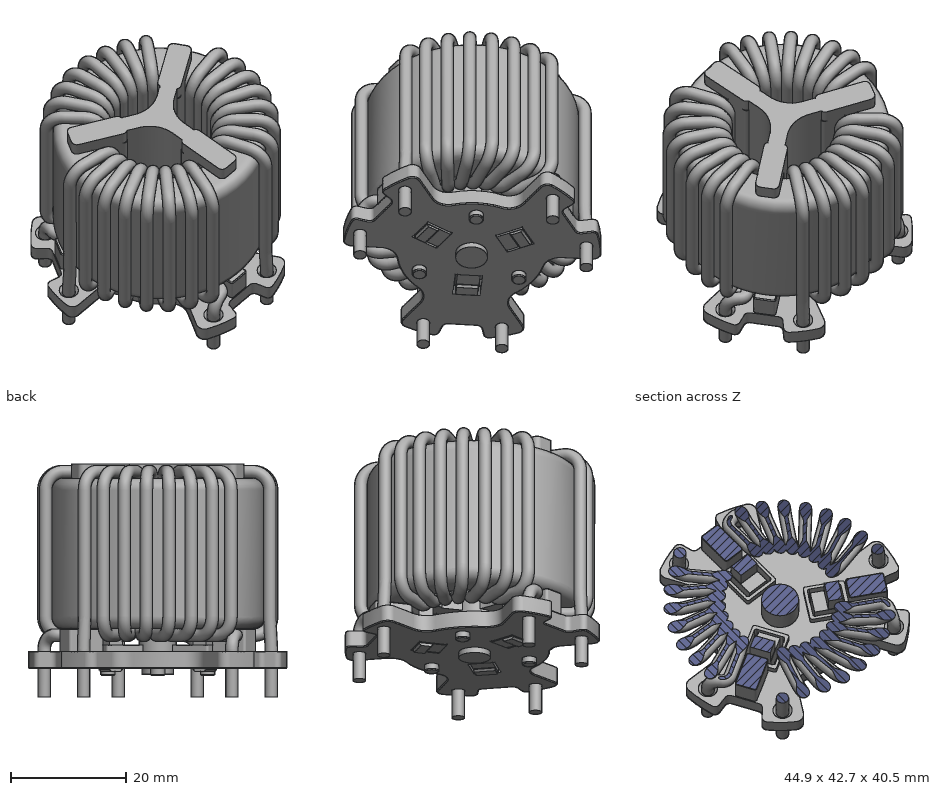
import cadquery as cq
import math


PHASES = 3
SPOKE_ANGLES = [-90 + 360 / PHASES * i for i in range(PHASES)]
WINDING_ANGLES = [angle + 180 / PHASES for angle in SPOKE_ANGLES]

plate_height = 2.95
plate_radius = 13.0
plate_chamfer = 0.2
tab_radius = 22.5
tab_side_angle = 30.0
tab_root_fillet = 3.0
tab_corner_fillet = 1.5
gap_distance = 18.85
gap_half_width = 3.25
gap_side_tilt = 15.0
gap_fillet = 1.0

core_outer_radius = 37.2 / 2
core_inner_radius = 22.35 / 2
core_bottom = 6.95
core_height = 26.1
core_fillet = 2.0
core_top = core_bottom + core_height

support_inner = 11.95
support_outer = 18.67
support_width = 3.95
support_fillet = 0.45
support_chamfer = 0.2

frame_inner = 4.7
frame_outer = 12.0
frame_width = 6.65
frame_top = 4.1
frame_fillet = 0.4
slot_inner = 5.75
slot_outer = 10.85
slot_width = 4.75
slot_flare = 0.4

foot_diameter = 2.5
foot_height = 1.15
foot_circle_radius = 10.0
foot_chamfer = 0.2

separator_top = 35.55
web_width = 3.05
web_fillet = 5.85
spoke_width = 4.15
spoke_inner = 6.4
spoke_outer = 16.5
spoke_fillet = 1.0
rib_fillet = 0.67
web_outer = 10.75
plug_width = 3.95
tongue_inner = 8.15
tongue_width = 3.75
tongue_drop = 0.5
tongue_chamfer = 0.35
hub_top = core_bottom + core_height / 2
hub_diameter = 6.5
hub_end_diameter = 5.5
hub_end_drop = 1.0

turns = 8
wire_diameter = 2.2
wire_gap = 0.067
wire_half_span = 40.0
pin_circle_radius = 20.0
pin_drop = 4.95
pin_hole_diameter = 2.3
pin_hole_mouth = 3.3
pin_straight_top = 3.35
exit_turn = 76.0

wire_pitch = 2 * wire_half_span / (turns - 1)
wire_offset = wire_diameter / 2 + wire_gap
bend_radius = core_fillet + wire_offset
wire_outer = core_outer_radius + wire_offset
wire_inner = core_inner_radius - wire_offset
bend_bottom = core_bottom + core_fillet
bend_top = core_top - core_fillet
pin_half_angle = 180 / PHASES - wire_half_span

UP = cq.Vector(0, 0, 1)
DOWN = cq.Vector(0, 0, -1)


def polar(radius, angle, z=0.0):
    return cq.Vector(radius * math.cos(math.radians(angle)), radius * math.sin(math.radians(angle)), z)


def about_axis(shape, angles):
    """Copies of a shape built along +X, turned to each angle and joined."""
    joined = shape.rotate((0, 0, 0), UP.toTuple(), angles[0])
    for angle in angles[1:]:
        joined = joined.union(shape.rotate((0, 0, 0), UP.toTuple(), angle))
    return joined


def radial_block(inner, outer, width, bottom, top):
    """Box lying along +X between two radii."""
    return cq.Workplane("XY").box(outer - inner, width, top - bottom, centered=(False, True, False)).translate(
        (inner, 0, bottom)
    )


def edges_within(part, radius):
    """Vertical edges nearer to the axis than a radius."""
    return part.edges("|Z").filter(lambda edge: math.hypot(edge.Center().x, edge.Center().y) < radius)


def make_tab_pair():
    """Two tabs on either side of a flat-bottomed gap, drawn symmetric about +X."""
    side = math.radians(tab_side_angle)
    tilt = math.radians(gap_side_tilt)
    corner_x = tab_radius * math.cos(side)
    corner_y = tab_radius * math.sin(side)
    sector = (
        cq.Workplane("XY")
        .moveTo(0, 0)
        .lineTo(corner_x, -corner_y)
        .threePointArc((tab_radius, 0), (corner_x, corner_y))
        .close()
        .extrude(plate_height)
        .edges("|Z and (not <X)")
        .fillet(tab_corner_fillet)
    )
    gap_length = tab_radius + 0.45 - gap_distance
    mouth_half_width = gap_half_width + gap_length * math.tan(tilt)
    gap = (
        cq.Workplane("XY")
        .polyline(
            [
                (gap_distance, -gap_half_width),
                (gap_distance + gap_length, -mouth_half_width),
                (gap_distance + gap_length, mouth_half_width),
                (gap_distance, gap_half_width),
            ]
        )
        .close()
        .extrude(plate_height)
    )
    notched = sector.cut(gap)
    gap_edges = notched.edges("|Z").filter(lambda edge: 0 < abs(edge.Center().y) < mouth_half_width)
    return gap_edges.filter(lambda edge: edge.Center().x > gap_distance - 0.45).fillet(gap_fillet)


def make_plate():
    disc = cq.Workplane("XY").circle(plate_radius).extrude(plate_height)
    plate = disc.union(about_axis(make_tab_pair(), SPOKE_ANGLES))
    plate = edges_within(plate, plate_radius + 0.45).fillet(tab_root_fillet)
    return plate.faces("<Z").edges().chamfer(plate_chamfer)


def make_base():
    frame = radial_block(frame_inner, frame_outer, frame_width, plate_height, frame_top)
    frame = frame.edges("|Z").fillet(frame_fillet)
    support = radial_block(support_inner, support_outer, support_width, plate_height, core_bottom)
    support = support.edges("|Z").fillet(support_fillet).faces(">Z").edges().chamfer(support_chamfer)
    base = make_plate().union(about_axis(frame, SPOKE_ANGLES)).union(about_axis(support, SPOKE_ANGLES))

    slot = (
        cq.Workplane("XY")
        .center((slot_inner + slot_outer) / 2, 0)
        .rect(slot_outer - slot_inner, slot_width)
        .extrude(frame_top, taper=-math.degrees(math.atan(slot_flare / frame_top)))
    )
    base = base.cut(about_axis(slot, SPOKE_ANGLES))

    foot = cq.Workplane("XY").circle(foot_diameter / 2).extrude(-foot_height).faces("<Z").chamfer(foot_chamfer)
    base = base.union(about_axis(foot.translate((foot_circle_radius, 0, 0)), WINDING_ANGLES))

    mouth_depth = (pin_hole_mouth - pin_hole_diameter) / 2
    hole = cq.Workplane("XY").circle(pin_hole_diameter / 2).extrude(plate_height)
    mouth = cq.Workplane("XY").add(
        cq.Solid.makeCone(
            pin_hole_diameter / 2,
            pin_hole_mouth / 2,
            mouth_depth,
            cq.Vector(0, 0, plate_height - mouth_depth),
        )
    )
    pin_hole = hole.union(mouth).translate((pin_circle_radius, 0, 0))
    for spoke_angle in SPOKE_ANGLES:
        base = base.cut(about_axis(pin_hole, [spoke_angle - pin_half_angle, spoke_angle + pin_half_angle]))
    return base


def make_core():
    return (
        cq.Workplane("XY", origin=(0, 0, core_bottom))
        .circle(core_outer_radius)
        .circle(core_inner_radius)
        .extrude(core_height)
        .faces("<Z or >Z")
        .edges()
        .fillet(core_fillet)
    )


def make_separator():
    web = about_axis(radial_block(0, spoke_inner + 0.45, web_width, core_bottom, separator_top), SPOKE_ANGLES)
    web = edges_within(web, web_width).fillet(web_fillet)

    arm = radial_block(spoke_inner, spoke_outer, spoke_width, core_top, separator_top)
    arm = arm.edges("|Z").fillet(spoke_fillet)
    rib = radial_block(spoke_inner, web_outer, spoke_width, core_bottom, core_top)
    rib = rib.edges("|Z and <X").fillet(rib_fillet)
    plug = radial_block(slot_inner, web_outer, plug_width, 0, frame_top)
    tongue = radial_block(tongue_inner, web_outer, tongue_width, -tongue_drop, core_bottom)
    tongue = tongue.faces("<Z").edges("|Y").chamfer(tongue_chamfer)
    separator = web.union(about_axis(arm.union(rib).union(plug).union(tongue), SPOKE_ANGLES))

    hub = cq.Workplane("XY").circle(hub_diameter / 2).extrude(hub_top)
    hub_end = cq.Workplane("XY").circle(hub_end_diameter / 2).extrude(-hub_end_drop)
    return separator.union(hub).union(hub_end)


def make_carrier():
    return make_base().union(make_core()).union(make_separator())


def sweep_wire(edges):
    """Round wire along a smooth chain of edges that starts vertical."""
    path = cq.Wire.assembleEdges(edges)
    section = cq.Workplane(cq.Plane(edges[0].startPoint(), (1, 0, 0), edges[0].tangentAt(0)))
    return section.circle(wire_diameter / 2).sweep(cq.Workplane("XY").add(path))


def bend(start, end, corner):
    """Quarter arc from start to end, bulging toward the sharp corner between them."""
    centre = start + end - corner
    middle = centre + (corner - centre).normalized() * bend_radius
    return cq.Edge.makeThreePointArc(start, middle, end)


def crossing(start, end, rise):
    """Run over (rise up) or under (rise down) the core between two vertical strands."""
    across = (end - start).normalized() * bend_radius
    lift = rise * bend_radius
    first = start + lift + across
    last = end + lift - across
    return [
        bend(start, first, start + lift),
        cq.Edge.makeLine(first, last),
        bend(last, end, end + lift),
    ]


def make_turn(index):
    """Strand up the outside, over the core, down the inside and on to the next strand or the pin."""
    angle = -wire_half_span + index * wire_pitch
    outer_low = polar(wire_outer, angle, bend_bottom)
    outer_high = polar(wire_outer, angle, bend_top)
    inner_high = polar(wire_inner, angle, bend_top)
    inner_low = polar(wire_inner, angle, bend_bottom)
    edges = [cq.Edge.makeLine(outer_low, outer_high)]
    edges += crossing(outer_high, inner_high, UP)
    edges.append(cq.Edge.makeLine(inner_high, inner_low))
    if index < turns - 1:
        next_low = polar(wire_outer, angle + wire_pitch, bend_bottom)
        edges += crossing(inner_low, next_low, DOWN)
    else:
        edges += make_exit(inner_low, angle)
    return sweep_wire(edges)


def make_exit(start, angle):
    """Lead from the last inner strand, past the core support, then sideways and down into its pin."""
    spoke_angle = 180 / PHASES
    turn = math.radians(exit_turn)
    outward = polar(1, spoke_angle)
    sideways = polar(1, spoke_angle - 90)
    heading = outward * math.cos(turn) + sideways * math.sin(turn)
    lead_level = bend_bottom - bend_radius
    drop_radius = lead_level - pin_straight_top
    sideways_total = (pin_circle_radius - wire_inner) * math.sin(math.radians(pin_half_angle))
    turn_radius = (sideways_total - drop_radius * math.sin(turn)) / (1 - math.cos(turn))

    pin_top = polar(pin_circle_radius, angle, pin_straight_top)
    pin_end = polar(pin_circle_radius, angle, -pin_drop)
    drop_centre = pin_top - heading * drop_radius
    drop_start = drop_centre + UP * drop_radius
    drop_middle = drop_centre + (UP + heading).normalized() * drop_radius
    turn_start = drop_start - outward * turn_radius * math.sin(turn) - sideways * turn_radius * (1 - math.cos(turn))
    turn_centre = turn_start + sideways * turn_radius
    turn_middle = (
        turn_centre
        + outward * turn_radius * math.sin(turn / 2)
        - sideways * turn_radius * math.cos(turn / 2)
    )
    first = start + DOWN * bend_radius + outward * bend_radius
    return [
        bend(start, first, start + DOWN * bend_radius),
        cq.Edge.makeLine(first, turn_start),
        cq.Edge.makeThreePointArc(turn_start, turn_middle, drop_start),
        cq.Edge.makeThreePointArc(drop_start, drop_middle, pin_top),
        cq.Edge.makeLine(pin_top, pin_end),
    ]


def make_entry():
    """Pin and lead below the first outer strand."""
    pin_end = polar(pin_circle_radius, -wire_half_span, -pin_drop)
    pin_top = polar(pin_circle_radius, -wire_half_span, plate_height)
    strand = polar(wire_outer, -wire_half_span, bend_bottom)
    return sweep_wire(
        [
            cq.Edge.makeLine(pin_end, pin_top),
            cq.Edge.makeSpline([pin_top, strand], tangents=[UP, UP]),
        ]
    )


def make_winding():
    winding = make_entry()
    for index in range(turns):
        winding = winding.union(make_turn(index))
    return winding


carrier = make_carrier()
winding = make_winding()
windings = [winding.rotate((0, 0, 0), UP.toTuple(), angle) for angle in WINDING_ANGLES]

result = cq.Compound.makeCompound([carrier.val(), *[copy.val() for copy in windings]])